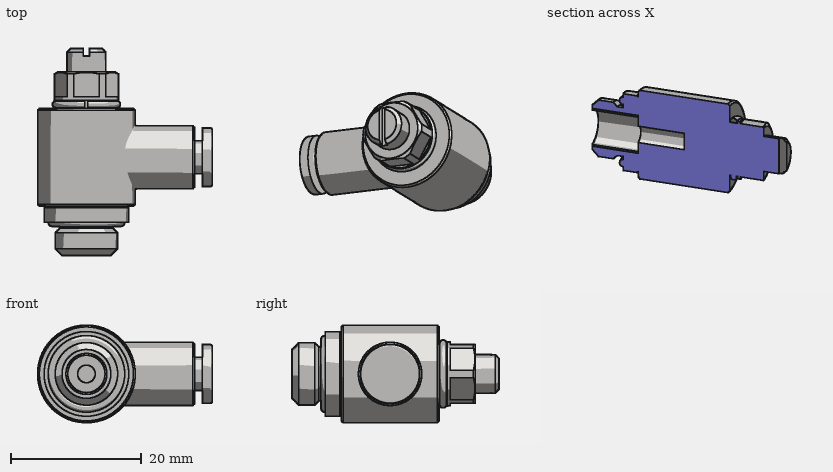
import cadquery as cq
import math


LENGTH_X = 26.8
LENGTH_Y = 31.75

SLEEVE_DIA = 15.0
SLEEVE_LENGTH = SLEEVE_DIA
SLEEVE_CHAMFER = 0.3
SLEEVE_FRONT = -SLEEVE_LENGTH / 2
SLEEVE_BACK = SLEEVE_LENGTH / 2

BRANCH_DIA = 9.7
BRANCH_END = 16.57
BRANCH_CHAMFER = 0.3
BRANCH_ROOT_FILLET = 0.15
COLLAR_NECK_DIA = 5.1
COLLAR_NECK_FILLET = 0.13
COLLAR_DIA = 9.02
COLLAR_THICKNESS = 1.52
COLLAR_END = LENGTH_X - SLEEVE_DIA / 2
COLLAR_FILLET = 0.35

STEM_FRONT = -15.05
STEM_BACK = STEM_FRONT + LENGTH_Y
FLANGE_FRONT = -9.97
HEX_COLLAR_FRONT = 8.73
HEX_FRONT = 9.25
HEX_BACK = 13.08

THREAD_DIA = 9.6
THREAD_TIP_CHAMFER = 1.05
THREAD_BACK = -11.55
UNDERCUT_DIA = 8.3
FLANGE_DIA = 13.0
FLANGE_CHAMFER = 0.22
SEAL_CENTRE_DIA = 10.48
SEAL_SECTION_RADIUS = 0.65

RING_GROOVE_DIA = 9.0
RING_CENTRE_DIA = 9.4
RING_SECTION_DIA = 1.05
RING_GAP = 0.45

HEX_COLLAR_DIA = 9.85
HEX_SIDES = 6
HEX_ACROSS_FLATS = 9.05
HEX_TOP_DIA = 8.75
HEX_CHAMFER_ANGLE = 30
STUD_DIA = 6.0
STUD_CHAMFER = 0.6
SLOT_WIDTH = 0.92
SLOT_DEPTH = 1.17

INSERT_OUTER_DIA = 6.3
INSERT_BORE_DIA = 5.7
INSERT_BACK = SLEEVE_FRONT
PASSAGE_DIA = 2.7
PASSAGE_BACK = 0.0


def y_cylinder(diameter, y_start, y_end):
    """Solid cylinder on the Y axis between two stations."""
    return (
        cq.Workplane("XZ", origin=(0, y_start, 0))
        .circle(diameter / 2)
        .extrude(y_start - y_end)
    )


def x_cylinder(diameter, x_start, x_end):
    """Solid cylinder on the X axis between two stations."""
    return (
        cq.Workplane("YZ", origin=(x_start, 0, 0))
        .circle(diameter / 2)
        .extrude(x_end - x_start)
    )


def y_torus(centre_dia, section_radius, y):
    """Solid ring of round section around the Y axis."""
    section_plane = cq.Plane(origin=(centre_dia / 2, y, 0), xDir=(-1, 0, 0), normal=(0, 0, -1))
    return (
        cq.Workplane(section_plane)
        .circle(section_radius)
        .revolve(360, (centre_dia / 2, 0), (centre_dia / 2, 1))
    )


def make_release_collar():
    """Flanged collar on a short neck at the branch mouth."""
    collar_start = COLLAR_END - COLLAR_THICKNESS
    neck_radius = COLLAR_NECK_DIA / 2
    collar_radius = COLLAR_DIA / 2
    return (
        cq.Workplane("XY")
        .moveTo(BRANCH_END, 0)
        .lineTo(BRANCH_END, neck_radius)
        .lineTo(collar_start - COLLAR_NECK_FILLET, neck_radius)
        .radiusArc((collar_start, neck_radius + COLLAR_NECK_FILLET), -COLLAR_NECK_FILLET)
        .lineTo(collar_start, collar_radius)
        .lineTo(COLLAR_END - COLLAR_FILLET, collar_radius)
        .radiusArc((COLLAR_END, collar_radius - COLLAR_FILLET), COLLAR_FILLET)
        .lineTo(COLLAR_END, 0)
        .close()
        .revolve(360, (0, 0), (1, 0))
    )


def make_sleeve_and_branch():
    """Sleeve and side branch, rounded into each other, ending in the release collar."""
    sleeve = y_cylinder(SLEEVE_DIA, SLEEVE_FRONT, SLEEVE_BACK)
    branch = x_cylinder(BRANCH_DIA, 0, BRANCH_END)
    body = sleeve.union(branch)
    body = body.edges("not(%CIRCLE or %LINE)").fillet(BRANCH_ROOT_FILLET)
    body = body.faces("<Y or >Y").edges().chamfer(SLEEVE_CHAMFER)
    body = body.faces(">X").edges().chamfer(BRANCH_CHAMFER)
    return body.union(make_release_collar())


def make_threaded_end():
    """Threaded end with its undercut, the sealing flange and the seal bead."""
    thread_radius = THREAD_DIA / 2
    undercut_radius = UNDERCUT_DIA / 2
    thread = (
        cq.Workplane("XY")
        .moveTo(0, STEM_FRONT)
        .lineTo(thread_radius - THREAD_TIP_CHAMFER, STEM_FRONT)
        .lineTo(thread_radius, STEM_FRONT + THREAD_TIP_CHAMFER)
        .lineTo(thread_radius, THREAD_BACK)
        .lineTo(undercut_radius, THREAD_BACK + thread_radius - undercut_radius)
        .lineTo(undercut_radius, FLANGE_FRONT)
        .lineTo(0, FLANGE_FRONT)
        .close()
        .revolve(360, (0, 0), (0, 1))
    )
    flange = y_cylinder(FLANGE_DIA, FLANGE_FRONT, SLEEVE_FRONT).faces(">Y").edges().chamfer(FLANGE_CHAMFER)
    seal = y_torus(SEAL_CENTRE_DIA, SEAL_SECTION_RADIUS, FLANGE_FRONT)
    return thread.union(flange).union(seal)


def make_retaining_ring():
    """Round-section ring with a narrow gap on its top side."""
    ring_y = (SLEEVE_BACK + HEX_COLLAR_FRONT) / 2
    ring = y_torus(RING_CENTRE_DIA, RING_SECTION_DIA / 2, ring_y)
    gap = cq.Workplane("XY").box(RING_GAP, RING_SECTION_DIA, RING_CENTRE_DIA, centered=(True, True, False))
    return ring.cut(gap.translate((0, ring_y, 0)))


def make_hexagon():
    """Hexagon trimmed to its collar diameter and chamfered at its back end."""
    length = HEX_BACK - HEX_FRONT
    across_corners = HEX_ACROSS_FLATS / math.cos(math.radians(180 / HEX_SIDES))
    hexagon = cq.Workplane("XZ", origin=(0, HEX_BACK, 0)).polygon(HEX_SIDES, across_corners).extrude(length)
    chamfer_run = (HEX_COLLAR_DIA - HEX_TOP_DIA) / 2
    chamfer_height = chamfer_run * math.tan(math.radians(HEX_CHAMFER_ANGLE))
    envelope = (
        cq.Workplane("XY")
        .moveTo(0, HEX_FRONT)
        .lineTo(HEX_COLLAR_DIA / 2, HEX_FRONT)
        .lineTo(HEX_COLLAR_DIA / 2, HEX_BACK - chamfer_height)
        .lineTo(HEX_TOP_DIA / 2, HEX_BACK)
        .lineTo(0, HEX_BACK)
        .close()
        .revolve(360, (0, 0), (0, 1))
    )
    collar = y_cylinder(HEX_COLLAR_DIA, HEX_COLLAR_FRONT, HEX_FRONT)
    return hexagon.intersect(envelope).union(collar)


def make_stud():
    """Chamfered stud with a screwdriver slot across its end."""
    stud = y_cylinder(STUD_DIA, HEX_BACK, STEM_BACK).faces(">Y").edges().chamfer(STUD_CHAMFER)
    slot = cq.Workplane("XY").box(SLOT_WIDTH, 2 * SLOT_DEPTH, STUD_DIA)
    return stud.cut(slot.translate((0, STEM_BACK, 0)))


def make_insert_recess():
    """Blind seat for the insert, with the narrower passage in its floor."""
    seat = y_cylinder(INSERT_OUTER_DIA, STEM_FRONT, INSERT_BACK)
    return seat.union(y_cylinder(PASSAGE_DIA, INSERT_BACK, PASSAGE_BACK))


def make_valve_body():
    """Sleeve, branch and stem in one piece, hollow at the threaded end."""
    ring_groove = y_cylinder(RING_GROOVE_DIA, SLEEVE_BACK, HEX_COLLAR_FRONT)
    body = make_sleeve_and_branch().union(make_threaded_end())
    body = body.union(ring_groove).union(make_retaining_ring())
    body = body.union(make_hexagon()).union(make_stud())
    return body.cut(make_insert_recess())


def make_insert():
    """Plain tube filling the recess, flush with the threaded tip."""
    tube = y_cylinder(INSERT_OUTER_DIA, STEM_FRONT, INSERT_BACK)
    return tube.cut(y_cylinder(INSERT_BORE_DIA, STEM_FRONT, INSERT_BACK))


valve_body = make_valve_body()
insert = make_insert()
result = cq.Compound.makeCompound([valve_body.solids().val(), insert.solids().val()])